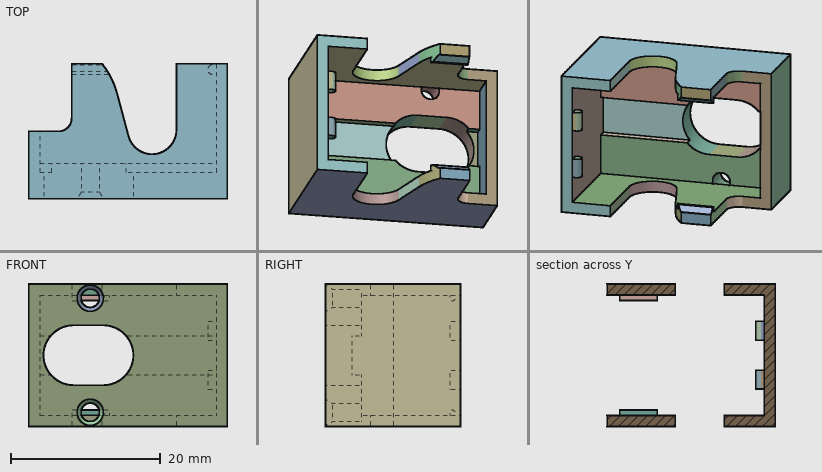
import cadquery as cq
import math

length = 26.6
depth = 18.1
height = 19.1
mid_z = height / 2

wall = 1.52
front_thickness = 4.8
left_wall_depth = 9.05

arm_left = 5.75
arm_tip_right = 9.82
notch_radius = 1.73

slot_radius = 3.25
slot_right = 19.77
slot_bottom = 6.0
slot_slope = math.radians(15)
slope_top = 14.1

hook_drop = 0.72
hook_tip_rise = 0.15
hook_length = 1.45
hook_flat = 0.43

window_length = 12.0
window_height = 7.98
window_x = 8.0
channel_height = 5.27
channel_floor = 3.55

screw_x = 8.25
screw_inset = 1.92
screw_diameter = 2.45
countersink_diameter = 3.5
countersink_depth = 0.93

rib_radius = 0.7
rib_height = 2.55
rib_edge_z = 5.0
rib_nose_x = 24.67
rib_y = 17.32


def box(x0, x1, y0, y1, z0, z1):
    return cq.Workplane("XY").box(x1 - x0, y1 - y0, z1 - z0, centered=False).translate((x0, y0, z0))


def outline():
    """Plan profile of the part, extruded through its full height."""
    slot_x = slot_right - slot_radius
    slot_y = slot_bottom + slot_radius
    slope_x = slot_x - slot_radius * math.cos(slot_slope)
    slope_y = slot_y - slot_radius * math.sin(slot_slope)
    slope_top_x = slope_x - (slope_top - slope_y) * math.tan(slot_slope)
    return (
        cq.Workplane("XY")
        .lineTo(length, 0)
        .lineTo(length, depth)
        .lineTo(slot_right, depth)
        .lineTo(slot_right, slot_y)
        .threePointArc((slot_x, slot_bottom), (slope_x, slope_y))
        .lineTo(slope_top_x, slope_top)
        .tangentArcPoint((arm_tip_right, depth), relative=False)
        .lineTo(arm_left, depth)
        .lineTo(arm_left, left_wall_depth + notch_radius)
        .radiusArc((arm_left - notch_radius, left_wall_depth), notch_radius)
        .lineTo(0, left_wall_depth)
        .close()
        .extrude(height)
    )


def right_wall():
    """Full-depth wall that closes the right side."""
    return box(length - wall, length, 0, depth, 0, height)


def cavity():
    """Space between the plates, with a shallow channel cut into the front wall."""
    inner_right = length - wall
    main = box(wall, inner_right, front_thickness, depth, wall, height - wall)
    channel = box(
        wall, inner_right, channel_floor, depth,
        mid_z - channel_height / 2, mid_z + channel_height / 2,
    )
    return main.union(channel)


def lower_hook():
    """Barbed ridge across the tip of the lower arm."""
    back = depth - hook_length
    top = wall + hook_drop
    ridge = (
        cq.Workplane("YZ")
        .polyline([
            (back, 0),
            (back, top),
            (back + hook_flat, top),
            (depth, wall - hook_tip_rise),
            (depth, 0),
        ])
        .close()
        .extrude(slot_right)
    )
    return ridge.intersect(outline())


def lower_rib():
    """Upright rib with a half-round nose, standing on the right wall."""
    nose = cq.Workplane("XY").center(rib_nose_x, rib_y).circle(rib_radius).extrude(rib_height)
    root = box(
        rib_nose_x, length - wall / 2, rib_y - rib_radius, rib_y + rib_radius, 0, rib_height,
    )
    return nose.union(root).translate((0, 0, rib_edge_z))


def mirrored_pair(lower):
    """The given solid together with its mirror image about mid height."""
    upper = lower.mirror("XY", (0, 0, mid_z))
    return lower.union(upper)


def window():
    return (
        cq.Workplane("XZ")
        .center(window_x, mid_z)
        .slot2D(window_length, window_height)
        .extrude(-front_thickness)
    )


def lower_screw_hole():
    """Through hole in the front wall with a conical countersink."""
    sink_step = (countersink_diameter - screw_diameter) / 2
    sink_angle = math.degrees(math.atan2(sink_step, countersink_depth))
    face = cq.Workplane("XZ").center(screw_x, screw_inset)
    hole = face.circle(screw_diameter / 2).extrude(-front_thickness)
    sink = face.circle(countersink_diameter / 2).extrude(-countersink_depth, taper=sink_angle)
    return hole.union(sink)


result = (
    outline()
    .cut(cavity())
    .union(right_wall())
    .union(mirrored_pair(lower_hook()))
    .union(mirrored_pair(lower_rib()))
    .cut(window())
    .cut(mirrored_pair(lower_screw_hole()))
)